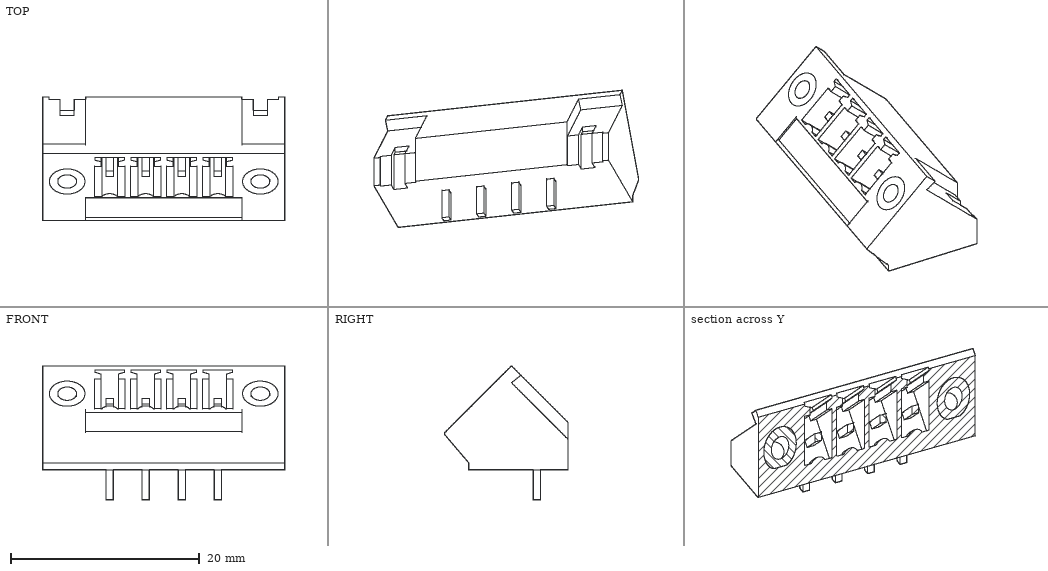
import cadquery as cq
import math

FACE_ANGLE = math.radians(45)
SLOPE = math.sin(FACE_ANGLE)

length = 25.63
ridge_depth = 6.0
back_height = 5.02
ridge_height = back_height + ridge_depth
base_depth = 10.53
base_rise = 0.75
nose_depth = 13.17
nose_height = ridge_height - (nose_depth - ridge_depth)
edge_radius = 0.2
nose_angle = FACE_ANGLE + math.atan2(nose_height - base_rise, nose_depth - base_depth)
nose_tangent = edge_radius / math.tan(nose_angle / 2)
nose_round_start = (nose_depth - ridge_depth) / SLOPE - nose_tangent

middle_width = 16.55
end_width = (length - middle_width) / 2
end_roof_height = 3.23
end_step_depth = 5.0

relief_depth = 0.25
corner_width = 0.67
slot_width = 1.49
slot_depth = 1.4
slot_entry_depth = 1.97
slot_entry_drop = 0.56

recess_start = 6.55

contact_count = 4
contact_pitch = 3.82
row_distance = 4.18
pocket_width = 3.23
pocket_height = 4.45
pocket_depth = 6.4
neck_width = 1.85
key_width = 3.15
key_start = 0.62
key_side = 0.35
key_taper = 0.25
guide_width = 1.61
guide_height = 0.4

pin_size = 0.8
pin_leg_depth = 3.3
pin_leg_length = 3.18
pin_tip_depth = 1.15

insert_spacing = 20.45
insert_diameter = 3.77
insert_bore = 2.0
insert_length = 5.13

contact_positions = [(i - (contact_count - 1) / 2) * contact_pitch for i in range(contact_count)]
insert_positions = [-insert_spacing / 2, insert_spacing / 2]


def side_profile(points, x_start, width):
    """Extrude a closed outline of (distance from the back wall, height) along X."""
    outline = [(-depth, height) for depth, height in points]
    return cq.Workplane("YZ").workplane(offset=x_start).polyline(outline).close().extrude(width)


def block(x_middle, width, depth, height):
    """Box standing on the base with its rear on the back wall."""
    return cq.Workplane("XY").box(width, depth, height, centered=(True, False, False)).translate(
        (x_middle, -depth, 0)
    )


def face_point(distance, inward=0.0):
    """Depth and height of a point down the mating face and then inward from it."""
    depth = ridge_depth + (distance - inward) * SLOPE
    height = ridge_height - (distance + inward) * SLOPE
    return depth, height


def face_outline_point(distance, inward):
    """Workplane point in the YZ plane for a place on or below the mating face."""
    depth, height = face_point(distance, inward)
    return -depth, height


def mating_face(x=0.0, distance=0.0):
    """Workplane on the mating face: local X along X, local Y up the face, normal outward."""
    depth, height = face_point(distance)
    plane = cq.Plane(origin=(x, -depth, height), xDir=(1, 0, 0), normal=(0, -1, 1))
    return cq.Workplane(plane)


def housing_section(x_start, width, recessed):
    """Slice of the housing block, with or without the latch recess in its mating face."""
    front_length = math.hypot(nose_depth - base_depth, nose_height - base_rise)
    nose_share = nose_tangent / front_length
    nose_end = (
        -nose_depth + nose_share * (nose_depth - base_depth),
        nose_height - nose_share * (nose_height - base_rise),
    )
    r = edge_radius
    section = (
        cq.Workplane("YZ")
        .workplane(offset=x_start)
        .moveTo(0, 0)
        .lineTo(0, back_height)
        .lineTo(-ridge_depth, ridge_height)
    )
    if recessed:
        section = (
            section.lineTo(*face_outline_point(recess_start, 0))
            .radiusArc(face_outline_point(recess_start + r, r), -r)
            .lineTo(*face_outline_point(nose_round_start - r, r))
            .radiusArc(face_outline_point(nose_round_start, 0), -r)
        )
    else:
        section = section.lineTo(*face_outline_point(nose_round_start, 0))
    return (
        section.radiusArc(nose_end, -r)
        .lineTo(-base_depth, base_rise)
        .lineTo(-base_depth, 0)
        .close()
        .extrude(width)
    )


def housing_block():
    """Full-length block with a shallow round-lipped latch recess across its middle."""
    middle = housing_section(-middle_width / 2, middle_width, recessed=True)
    left_end = housing_section(-length / 2, end_width, recessed=False)
    right_end = housing_section(middle_width / 2, end_width, recessed=False)
    return left_end.union(middle).union(right_end)


def end_roof_cut(x_start):
    """Removes the roof over one end, down to the lower slope and its undercut step."""
    return side_profile(
        [
            (0, end_roof_height),
            (ridge_depth, end_roof_height + ridge_depth),
            (end_step_depth, back_height + end_step_depth),
            (0, back_height),
        ],
        x_start,
        end_width,
    )


def back_relief(side):
    """Shallow relief across the back of one end, leaving its outer corner."""
    width = end_width - corner_width
    x_middle = side * (middle_width + width) / 2
    return block(x_middle, width, relief_depth, ridge_height)


def back_slot(x):
    """Slot through the back of one end, with a sloped entry below the end roof."""
    slot = block(x, slot_width, slot_depth, ridge_height)
    entry_height = end_roof_height + slot_depth - slot_entry_drop
    entry = side_profile(
        [
            (slot_depth, entry_height),
            (slot_entry_depth, entry_height + slot_entry_depth - slot_depth),
            (slot_entry_depth, ridge_height),
            (slot_depth, ridge_height),
        ],
        x - slot_width / 2,
        slot_width,
    )
    return slot.union(entry)


def contact_pocket(x):
    """Keyed pocket for one contact, with a rounded guide left along its lower wall."""
    half_pocket = pocket_width / 2
    half_neck = neck_width / 2
    half_key = key_width / 2
    top = row_distance - pocket_height / 2
    bottom = row_distance + pocket_height / 2
    outline = [
        (-half_key, -key_start),
        (half_key, -key_start),
        (half_key, -key_start - key_side),
        (half_neck, -key_start - key_side - key_taper),
        (half_neck, -top),
        (half_pocket, -top),
        (half_pocket, -bottom),
        (-half_pocket, -bottom),
        (-half_pocket, -top),
        (-half_neck, -top),
        (-half_neck, -key_start - key_side - key_taper),
        (-half_key, -key_start - key_side),
    ]
    pocket = mating_face(x).polyline(outline).close().extrude(-pocket_depth)
    guide = (
        mating_face(x, bottom)
        .moveTo(-guide_width / 2, 0)
        .threePointArc((0, guide_height), (guide_width / 2, 0))
        .close()
        .extrude(-pocket_depth)
    )
    return pocket.cut(guide)


def make_pin(x):
    """Square bent pin: a vertical leg and a contact arm square to the mating face, mitred."""
    tip_depth, tip_height = face_point(row_distance, pin_tip_depth)
    bend_height = tip_height - (tip_depth - pin_leg_depth)
    half = pin_size / 2
    miter = half * math.tan(FACE_ANGLE / 2)
    across = half * SLOPE
    outline = [
        (pin_leg_depth - half, -pin_leg_length),
        (pin_leg_depth - half, bend_height + miter),
        (tip_depth - across, tip_height + across),
        (tip_depth + across, tip_height - across),
        (pin_leg_depth + half, bend_height - miter),
        (pin_leg_depth + half, -pin_leg_length),
    ]
    return side_profile(outline, x - half, pin_size)


def insert_seat(x):
    return mating_face(x, row_distance).circle(insert_diameter / 2).extrude(-insert_length)


def make_insert(x):
    """Sleeve flush with the mating face."""
    bore = mating_face(x, row_distance).circle(insert_bore / 2).extrude(-insert_length)
    return insert_seat(x).cut(bore)


def make_housing(pins):
    body = housing_block()
    for side in (-1, 1):
        body = body.cut(back_relief(side))
    for x_start in (-length / 2, middle_width / 2):
        body = body.cut(end_roof_cut(x_start))
    for x in insert_positions:
        body = body.cut(back_slot(x)).cut(insert_seat(x))
    for x in contact_positions:
        body = body.cut(contact_pocket(x))
    for pin in pins:
        body = body.cut(pin)
    return body


pins = [make_pin(x) for x in contact_positions]
inserts = [make_insert(x) for x in insert_positions]
housing = make_housing(pins)

result = cq.Compound.makeCompound(
    [housing.val(), *[pin.val() for pin in pins], *[sleeve.val() for sleeve in inserts]]
)